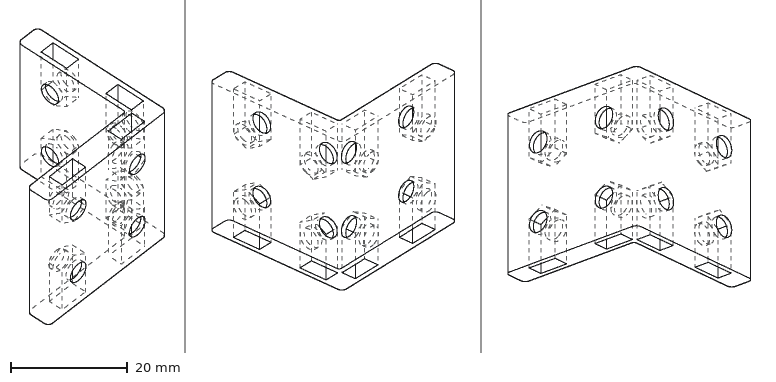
import cadquery as cq
import math

size = 30.0
wall = size / 6
edge_radius = size / 30
inner_radius = edge_radius / 2
hole_diameter = 4.0
hole_near = size / 4
hole_far = size - hole_near
nut_width = 5.9
nut_thickness = 3.0
nut_face_angle = math.radians(30)



def bracket_body():
    """L-shaped extrusion with rounded vertical edges."""
    profile = [
        (0, 0),
        (-size, 0),
        (-size, -wall),
        (-wall, -wall),
        (-wall, -size),
        (0, -size),
    ]
    body = cq.Workplane("XY").polyline(profile).close().extrude(size)
    inner_edge = cq.selectors.NearestToPointSelector((-wall, -wall, size / 2))
    body = body.edges("|Z").edges(inner_edge).fillet(inner_radius)
    outer_corners = [profile[i] for i in (0, 1, 2, 4, 5)]
    for x, y in outer_corners:
        corner = cq.selectors.NearestToPointSelector((x, y, size / 2))
        body = body.edges("|Z").edges(corner).fillet(edge_radius)
    return body


def nut_slot(x, z, opening_z):
    """Slot from an end face that stops in a V matching the hexagonal nut."""
    direction = math.copysign(1, opening_z - z)
    half_width = nut_width / 2
    shoulder = half_width * math.tan(nut_face_angle)
    apex = half_width / math.cos(nut_face_angle)
    outline = [
        (x - half_width, opening_z),
        (x - half_width, z - direction * shoulder),
        (x, z - direction * apex),
        (x + half_width, z - direction * shoulder),
        (x + half_width, opening_z),
    ]
    return (
        cq.Workplane("XZ", origin=(0, -wall / 2, 0))
        .polyline(outline)
        .close()
        .extrude(nut_thickness / 2, both=True)
    )


def leg_cutters():
    """Bolt holes and nut slots of the leg that runs along X."""
    columns = (-hole_near, -hole_far)
    centres = [(x, z) for x in columns for z in (hole_near, hole_far)]
    cutters = (
        cq.Workplane("XZ")
        .pushPoints(centres)
        .circle(hole_diameter / 2)
        .extrude(wall)
    )
    for x in columns:
        cutters = cutters.union(nut_slot(x, hole_far, size))
        cutters = cutters.union(nut_slot(x, hole_near, 0))
    return cutters


x_leg_cutters = leg_cutters()
y_leg_cutters = x_leg_cutters.mirror("YZ").rotate((0, 0, 0), (0, 0, 1), -90)

bracket = bracket_body().cut(x_leg_cutters).cut(y_leg_cutters)
result = bracket.translate((size / 2, size / 2, 0))